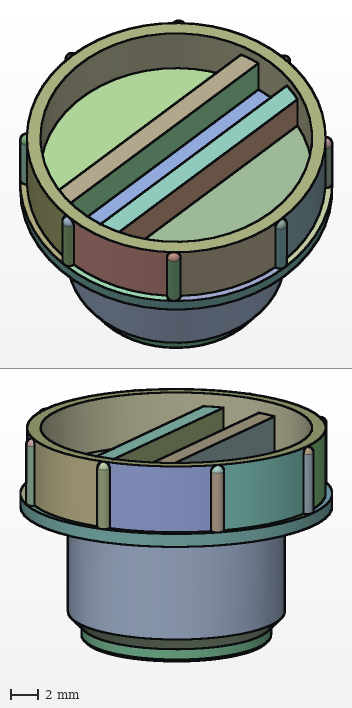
import cadquery as cq
import math

total_height = 16.0
tip_top = 1.0
body_bottom = 2.0
flange_bottom = 10.0
flange_top = 11.0
cavity_floor = 12.0

flange_diameter = 23
head_diameter = 22.0
cavity_diameter = 20
body_diameter = 16.0
tip_diameter = 14.0
tip_chamfer = 0.2

wall_gap = 3
wall_thickness = 1.5
wall_drop = 1.0

grip_count = 8
grip_radius = (flange_diameter - head_diameter) / 2


def cylinder(diameter, bottom, top):
    return cq.Workplane("XY").workplane(offset=bottom).circle(diameter / 2).extrude(top - bottom)


def make_plug():
    """Lower body with a conical step down to a chamfered tip."""
    body_radius = body_diameter / 2
    tip_radius = tip_diameter / 2
    profile = [
        (0, 0),
        (tip_radius - tip_chamfer, 0),
        (tip_radius, tip_chamfer),
        (tip_radius, tip_top),
        (body_radius, body_bottom),
        (body_radius, flange_bottom),
        (0, flange_bottom),
    ]
    return cq.Workplane("XZ").polyline(profile).close().revolve(360, (0, 0, 0), (0, 1, 0))


def make_head():
    """Flange and open cup with two parallel walls across the cavity."""
    flange = cylinder(flange_diameter, flange_bottom, flange_top)
    cup = cylinder(head_diameter, flange_top, total_height)
    cavity = cylinder(cavity_diameter, cavity_floor, total_height)
    wall_offset = (wall_gap + wall_thickness) / 2
    wall_height = total_height - wall_drop - cavity_floor
    walls = (
        cq.Workplane("XY")
        .workplane(offset=cavity_floor)
        .pushPoints([(-wall_offset, 0), (wall_offset, 0)])
        .rect(wall_thickness, head_diameter)
        .extrude(wall_height)
        .intersect(cylinder((cavity_diameter + head_diameter) / 2, cavity_floor, total_height))
    )
    return flange.union(cup).cut(cavity).union(walls)


def make_grip(angle):
    """Upright rib with a domed top, centred on the head's outer surface."""
    shoulder = total_height - grip_radius
    diagonal = grip_radius * math.sqrt(0.5)
    rib = (
        cq.Workplane("XZ")
        .moveTo(0, flange_top)
        .lineTo(grip_radius, flange_top)
        .lineTo(grip_radius, shoulder)
        .threePointArc((diagonal, shoulder + diagonal), (0, total_height))
        .close()
        .revolve(360, (0, 0, 0), (0, 1, 0))
    )
    return rib.translate((head_diameter / 2, 0, 0)).rotate((0, 0, 0), (0, 0, 1), angle)


result = make_plug().union(make_head())
for index in range(grip_count):
    result = result.union(make_grip(360 * index / grip_count))